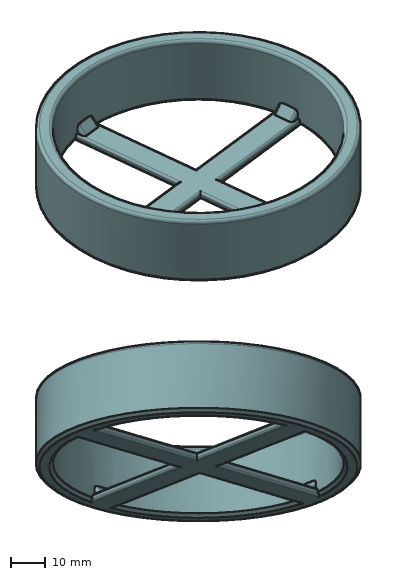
import cadquery as cq

outer_diameter = 95.0
inner_diameter = 85.0
height = 22.0
top_edge_radius = 1.0
bottom_chamfer = 1.0

bar_width = 8.55
bar_thickness = 2.3
bar_edge_radius = 0.8

gusset_width = bar_width - 2 * bar_edge_radius
gusset_reach = 2.9
gusset_height = 2.9
gusset_corner_radius = 0.95

outer_radius = outer_diameter / 2
inner_radius = inner_diameter / 2
wall_middle_radius = (outer_radius + inner_radius) / 2


def make_ring():
    """Plain ring with rounded top edges and chamfered bottom edges."""
    ring = cq.Workplane("XY").circle(outer_radius).circle(inner_radius).extrude(height)
    ring = ring.faces(">Z").edges().fillet(top_edge_radius)
    return ring.faces("<Z").edges().chamfer(bottom_chamfer)


def make_cross():
    """Two crossing bars with rounded long edges, ending inside the ring wall."""
    length = 2 * wall_middle_radius
    bar = cq.Workplane("XY").box(length, bar_width, bar_thickness, centered=(True, True, False))
    cross = bar.union(bar.rotate((0, 0, 0), (0, 0, 1), 90))
    return cross.faces("<Z or >Z").edges().fillet(bar_edge_radius)


def make_gusset():
    """Wedge at the +X bar end, rising outward, its sloped face rounded at both sides."""
    foot = inner_radius - gusset_reach
    top = bar_thickness + gusset_height
    profile = [
        (foot, bar_thickness),
        (inner_radius, top),
        (wall_middle_radius, top),
        (wall_middle_radius, bar_thickness),
    ]
    wedge = cq.Workplane("XZ").polyline(profile).close().extrude(gusset_width / 2, both=True)
    sloped_sides = cq.selectors.ParallelDirSelector(cq.Vector(gusset_reach, 0, gusset_height))
    return wedge.edges(sloped_sides).fillet(gusset_corner_radius)


result = make_ring().union(make_cross())
gusset = make_gusset()
for quarter in range(4):
    result = result.union(gusset.rotate((0, 0, 0), (0, 0, 1), 90 * quarter))